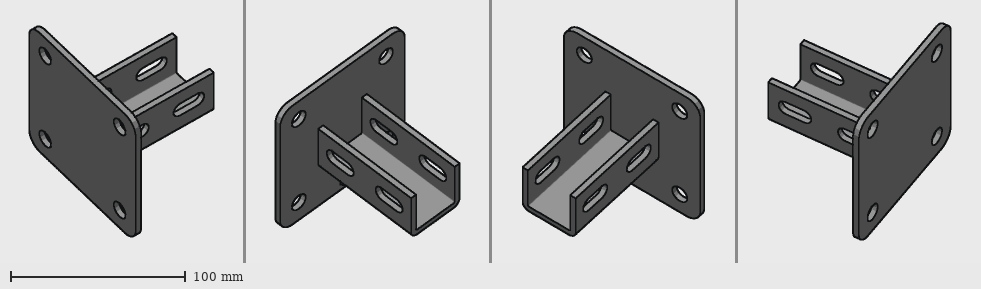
import cadquery as cq

plate_size = 100.0
plate_thickness = 4.0
plate_corner_radius = 10.0
hole_diameter = 11.0
hole_spacing = 70.0

overall_depth = 80.0
channel_width = 39.0
channel_wall = 4.0
channel_top = 15.0
channel_bottom = -19.0
bend_outer_radius = 5.0
bend_inner_radius = bend_outer_radius - channel_wall
channel_length = overall_depth - plate_thickness

slot_length = 22.0
slot_height = 10.0
slot_spacing = 40.0
last_slot_to_end = 18.0

gusset_thickness = 4.0
gusset_length = 45.0
gusset_drop = 26.0


def make_plate():
    """Square plate with rounded corners and four mounting holes."""
    plate = cq.Workplane("XY").box(
        plate_size, plate_thickness, plate_size, centered=(True, False, True)
    )
    plate = plate.edges("|Y").fillet(plate_corner_radius)
    holes = (
        cq.Workplane("XZ")
        .rect(hole_spacing, hole_spacing, forConstruction=True)
        .vertices()
        .circle(hole_diameter / 2)
        .extrude(-plate_thickness)
    )
    return plate.cut(holes)


def channel_block(width, bottom, bend_radius):
    """Block up to the channel top, with its two lower long edges rounded."""
    block = cq.Workplane("XY").box(
        width, channel_length, channel_top - bottom, centered=(True, False, False)
    )
    block = block.translate((0, plate_thickness, bottom))
    return block.edges("|Y and <Z").fillet(bend_radius)


def make_channel():
    """Bent U-channel with two slots through each side wall."""
    outside = channel_block(channel_width, channel_bottom, bend_outer_radius)
    inside = channel_block(
        channel_width - 2 * channel_wall, channel_bottom + channel_wall, bend_inner_radius
    )
    last_slot_y = overall_depth - last_slot_to_end
    slots = (
        cq.Workplane("YZ")
        .pushPoints([(last_slot_y - slot_spacing, 0), (last_slot_y, 0)])
        .slot2D(slot_length, slot_height)
        .extrude(channel_width / 2, both=True)
    )
    return outside.cut(inside).cut(slots)


def make_gusset():
    """Triangular web, centred on the channel, bracing it against the plate."""
    return (
        cq.Workplane("YZ")
        .moveTo(plate_thickness, channel_bottom)
        .lineTo(plate_thickness + gusset_length, channel_bottom)
        .lineTo(plate_thickness, channel_bottom - gusset_drop)
        .close()
        .extrude(gusset_thickness / 2, both=True)
    )


result = make_plate().union(make_channel()).union(make_gusset())